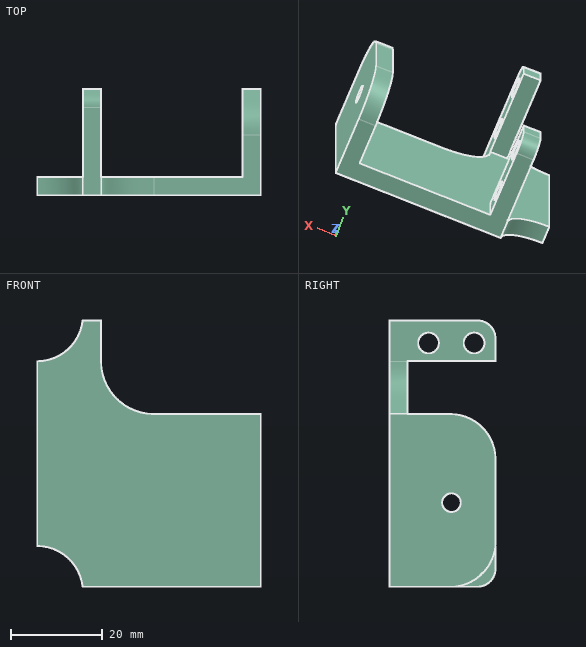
import cadquery as cq

width = 49.0
depth = 23.3
height = 58.4
thickness = 4.05

tab_x = 10.0
tab_height = 8.95
scallop_radius = 10.0
shoulder_height = 37.9
inner_fillet = 11.5

tab_corner = 4.05
wall_corner = 10.0

tab_hole_diameter = 4.5
tab_hole_ys = (8.6, 18.6)
upper_hole_inset = 4.95
lower_hole_inset = 4.5
wall_hole_diameter = 4.05
wall_hole_y = 13.6
wall_hole_z = 18.45


def x_cylinder(x, y, z, diameter):
    """Cylinder along X that spans one sheet thickness from x."""
    return cq.Workplane("YZ", origin=(x, y, z)).circle(diameter / 2).extrude(thickness)


def make_plate():
    """Front plate with a stepped top edge and two scalloped left corners."""
    neck_x = tab_x + thickness
    plate = (
        cq.Workplane("XZ")
        .polyline([
            (0, 0),
            (width, 0),
            (width, shoulder_height),
            (neck_x, shoulder_height),
            (neck_x, height),
            (0, height),
        ])
        .close()
        .extrude(-thickness)
    )
    inner_edge = cq.selectors.NearestToPointSelector((neck_x, thickness / 2, shoulder_height))
    plate = plate.edges(inner_edge).fillet(inner_fillet)
    scallop_zs = (tab_height - scallop_radius, height - tab_height + scallop_radius)
    for z in scallop_zs:
        scallop = cq.Workplane("XZ", origin=(0, 0, z)).circle(scallop_radius).extrude(-thickness)
        plate = plate.cut(scallop)
    return plate


def make_tab(base_z, rounded_edge, hole_z):
    """Tab with two holes, reaching back from the plate."""
    tab = cq.Workplane("XY").box(thickness, depth - thickness, tab_height, centered=False)
    tab = tab.translate((tab_x, thickness, base_z))
    tab = tab.edges(rounded_edge).fillet(tab_corner)
    for y in tab_hole_ys:
        tab = tab.cut(x_cylinder(tab_x, y, hole_z, tab_hole_diameter))
    return tab


def make_wall():
    """Right side wall with rounded rear corners and one hole."""
    wall_x = width - thickness
    wall = cq.Workplane("XY").box(thickness, depth, shoulder_height, centered=False)
    wall = wall.translate((wall_x, 0, 0))
    wall = wall.edges("|X and >Y").fillet(wall_corner)
    return wall.cut(x_cylinder(wall_x, wall_hole_y, wall_hole_z, wall_hole_diameter))


lower_tab = make_tab(0, "|X and >Y and <Z", lower_hole_inset)
upper_tab = make_tab(height - tab_height, "|X and >Y and >Z", height - upper_hole_inset)
result = make_plate().union(make_wall()).union(lower_tab).union(upper_tab)